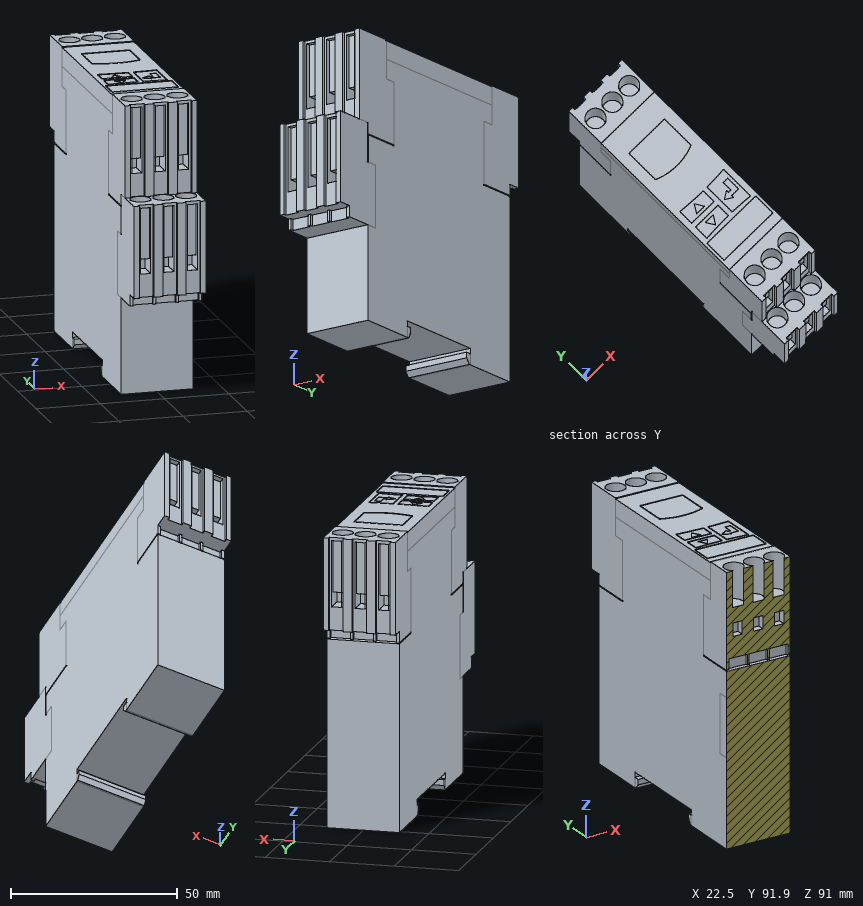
import cadquery as cq

WIDTH = 22.5
BODY_HALF_DEPTH = 36.7
BODY_HEIGHT = 84.8
COVER_TOP = 90.7
COVER_BACK = 27.3
COVER_FRONT = -27.2

BLOCK_TOP = 91.0
BLOCK_HEIGHT = 28.7
BLOCK_DEPTH = 13.9
BLOCK_SHOULDER_DROP = 12.4
BLOCK_SHOULDER_REACH = 4.0
FOOT_SETBACK = 4.5
FOOT_HEIGHT = 3.5
BACK_BLOCK_FACE = 41.2
FRONT_BLOCK_FACE = -41.1
LOWER_BLOCK_FACE = -50.7
LOWER_BLOCK_TOP = BLOCK_TOP - BLOCK_HEIGHT
FIT_GAP = 0.3

POLES = (-1, 0, 1)
CHANNEL_PITCH = 7.3
CHANNEL_WIDTH = 4.5
CHANNEL_DEPTH = 1.0
SLOT_WIDTH = 3.1
SLOT_TOP_DROP = 1.0
SLOT_BOTTOM_DROP = 17.3
SLOT_DEPTH = 1.5
WINDOW_BOTTOM_DROP = 21.5
WINDOW_DEPTH = 6.0
SCREW_PITCH = 7.1
SCREW_DIAMETER = 6.3
SCREW_SETBACK = 7.3
SCREW_HOLE_DEPTH = 12.0
FOOT_NOTCH_DEPTH = 1.0

RAIL_HALF_WIDTH = 16.15
RAIL_DEPTH = 5.2
HOOK_TOP = 3.5
HOOK_NOSE_BOTTOM = 1.7
HOOK_TOE = 0.5
BACK_HOOK_REACH = 1.9
FRONT_HOOK_REACH = 1.5

PANEL_RECESS = 0.2
SYMBOL_RECESS = 0.1
DISPLAY_WIDTH = 15.0
DISPLAY_BACK = 19.3
DISPLAY_CORNER = 8.0
DISPLAY_FRONT = 6.5
LABEL_WIDTH = 20.6
LABEL_BACK = -16.7
LABEL_FRONT = -24.0
KEYPAD_HALF_WIDTH = 9.2
KEYPAD_BACK = -4.1
KEYPAD_FRONT = -15.6
KEYPAD_SAG = 0.4
ARROW_KEY_RIGHT = 0.25
UP_KEY_FRONT = -9.1
DOWN_KEY_BACK = -10.75
ENTER_KEY_LEFT = 1.85
TRIANGLE_X = -4.45
TRIANGLE_WIDTH = 3.3
TRIANGLE_HEIGHT = 2.7
UP_TRIANGLE_BASE = -8.1
DOWN_TRIANGLE_BASE = -11.8
ENTER_SYMBOL = [
    (2.85, -10.85),
    (5.3, -9.3),
    (5.3, -10.1),
    (6.3, -10.1),
    (6.3, -6.9),
    (8.2, -6.9),
    (8.2, -11.5),
    (5.3, -11.5),
    (5.3, -12.3),
]


def box(x_range, y_range, z_range):
    """Axis-aligned box from its lower and upper limits."""
    x0, x1 = x_range
    y0, y1 = y_range
    z0, z1 = z_range
    return cq.Workplane("XY").box(x1 - x0, y1 - y0, z1 - z0, centered=False).translate((x0, y0, z0))


def pole_box(x_center, width, y_range, z_range):
    """Box centred on one pole across the width."""
    return box((x_center - width / 2, x_center + width / 2), sorted(y_range), z_range)


def side_extrusion(points):
    """Extrude a (Y, Z) outline symmetrically across the width."""
    return cq.Workplane("YZ").polyline(points).close().extrude(WIDTH / 2, both=True)


def block_profile(face, inward, top):
    """Side outline of a terminal block."""
    inner = face + inward * BLOCK_DEPTH
    shoulder = face + inward * (BLOCK_DEPTH + BLOCK_SHOULDER_REACH)
    foot_face = face + inward * FOOT_SETBACK
    shoulder_z = top - BLOCK_SHOULDER_DROP
    underside = top - BLOCK_HEIGHT
    foot_z = underside - FOOT_HEIGHT
    return [
        (face, top),
        (inner, top),
        (inner, shoulder_z),
        (shoulder, shoulder_z),
        (shoulder, foot_z),
        (foot_face, foot_z),
        (foot_face, underside),
        (face, underside),
    ]


def make_block(face, inward, top):
    """Three-pole terminal block whose outer face lies at Y = face."""
    block = side_extrusion(block_profile(face, inward, top))
    underside = top - BLOCK_HEIGHT
    channel_floor = face + inward * CHANNEL_DEPTH
    slot_floor = channel_floor + inward * SLOT_DEPTH
    window_floor = channel_floor + inward * WINDOW_DEPTH
    screw_y = face + inward * SCREW_SETBACK
    foot_face = face + inward * FOOT_SETBACK
    notch_floor = foot_face + inward * FOOT_NOTCH_DEPTH
    slot_bottom = top - SLOT_BOTTOM_DROP
    window_bottom = top - WINDOW_BOTTOM_DROP

    for pole in POLES:
        channel_x = pole * CHANNEL_PITCH
        screw_x = pole * SCREW_PITCH
        block = block.cut(pole_box(channel_x, CHANNEL_WIDTH, (face, channel_floor), (underside, top)))
        slot_z = (slot_bottom, top - SLOT_TOP_DROP)
        block = block.cut(pole_box(channel_x, SLOT_WIDTH, (channel_floor, slot_floor), slot_z))
        window_z = (window_bottom, slot_bottom)
        block = block.cut(pole_box(channel_x, SLOT_WIDTH, (channel_floor, window_floor), window_z))
        screw_hole = cq.Workplane("XY", origin=(screw_x, screw_y, top - SCREW_HOLE_DEPTH))
        block = block.cut(screw_hole.circle(SCREW_DIAMETER / 2).extrude(SCREW_HOLE_DEPTH))
        notch_z = (underside - FOOT_HEIGHT, underside)
        block = block.cut(pole_box(screw_x, SCREW_DIAMETER, (foot_face, notch_floor), notch_z))
    return block


def make_hook(side, reach):
    """Rail hook on one wall of the rail notch; side is +1 at the back and -1 at the front."""
    wall = side * RAIL_HALF_WIDTH
    nose = wall - side * reach
    toe = wall - side * HOOK_TOE
    outline = [(wall, HOOK_TOP), (nose, HOOK_TOP), (nose, HOOK_NOSE_BOTTOM), (toe, 0), (wall, 0)]
    return side_extrusion(outline)


def make_body():
    """Housing with its cover and rail notch."""
    half = WIDTH / 2
    body = box((-half, half), (-BODY_HALF_DEPTH, BODY_HALF_DEPTH), (0, BODY_HEIGHT))
    body = body.cut(box((-half, half), (-RAIL_HALF_WIDTH, RAIL_HALF_WIDTH), (0, RAIL_DEPTH)))
    cover = box((-half, half), (COVER_FRONT, COVER_BACK), (BODY_HEIGHT, COVER_TOP))
    return body.union(cover, clean=False)


def cut_fit_gaps(body):
    """Thin gaps below the feet of the upper blocks and behind the lower block."""
    half = WIDTH / 2
    foot_z = LOWER_BLOCK_TOP - FOOT_HEIGHT
    for face, inward in ((BACK_BLOCK_FACE, -1), (FRONT_BLOCK_FACE, 1)):
        shoulder = face + inward * (BLOCK_DEPTH + BLOCK_SHOULDER_REACH)
        y_range = sorted((face, shoulder))
        body = body.cut(box((-half, half), y_range, (foot_z - FIT_GAP, foot_z)), clean=False)
    lower_inner = LOWER_BLOCK_FACE + BLOCK_DEPTH
    shoulder_z = LOWER_BLOCK_TOP - BLOCK_SHOULDER_DROP
    rear_gap = box((-half, half), (lower_inner, -BODY_HALF_DEPTH + FIT_GAP), (shoulder_z, LOWER_BLOCK_TOP))
    return body.cut(rear_gap, clean=False)


def panel_sketch(depth=PANEL_RECESS):
    """Sketch plane at the given depth below the cover surface."""
    return cq.Workplane("XY", origin=(0, 0, COVER_TOP - depth))


def cut_display(part):
    """Display recess with a bowed front edge."""
    half = DISPLAY_WIDTH / 2
    outline = panel_sketch().moveTo(-half, DISPLAY_CORNER).lineTo(-half, DISPLAY_BACK)
    outline = outline.lineTo(half, DISPLAY_BACK).lineTo(half, DISPLAY_CORNER)
    outline = outline.threePointArc((0, DISPLAY_FRONT), (-half, DISPLAY_CORNER)).close()
    return part.cut(outline.extrude(PANEL_RECESS), clean=False)


def cut_label(part):
    """Rectangular label recess."""
    half = LABEL_WIDTH / 2
    recess = box((-half, half), (LABEL_FRONT, LABEL_BACK), (COVER_TOP - PANEL_RECESS, COVER_TOP))
    return part.cut(recess, clean=False)


def cut_keys(part):
    """Three key recesses, trimmed from one keypad outline with waisted front and back edges."""
    half = KEYPAD_HALF_WIDTH
    keypad = panel_sketch().moveTo(-half, KEYPAD_FRONT).lineTo(-half, KEYPAD_BACK)
    keypad = keypad.threePointArc((0, KEYPAD_BACK - KEYPAD_SAG), (half, KEYPAD_BACK))
    keypad = keypad.lineTo(half, KEYPAD_FRONT)
    keypad = keypad.threePointArc((0, KEYPAD_FRONT + KEYPAD_SAG), (-half, KEYPAD_FRONT))
    keypad = keypad.close().extrude(PANEL_RECESS)
    key_limits = [
        ((-half, ARROW_KEY_RIGHT), (UP_KEY_FRONT, KEYPAD_BACK)),
        ((-half, ARROW_KEY_RIGHT), (KEYPAD_FRONT, DOWN_KEY_BACK)),
        ((ENTER_KEY_LEFT, half), (KEYPAD_FRONT, KEYPAD_BACK)),
    ]
    for x_range, y_range in key_limits:
        key = keypad.intersect(box(x_range, y_range, (COVER_TOP - PANEL_RECESS, COVER_TOP)))
        part = part.cut(key, clean=False)
    return part


def triangle(base, direction):
    """Isosceles arrow outline pointing along +Y or -Y."""
    half = TRIANGLE_WIDTH / 2
    apex = (TRIANGLE_X, base + direction * TRIANGLE_HEIGHT)
    return [(TRIANGLE_X - half, base), (TRIANGLE_X + half, base), apex]


def cut_symbols(part):
    """Up, down and enter arrows sunk into the key faces."""
    for outline in (triangle(UP_TRIANGLE_BASE, 1), triangle(DOWN_TRIANGLE_BASE, -1), ENTER_SYMBOL):
        sketch = panel_sketch(PANEL_RECESS + SYMBOL_RECESS)
        part = part.cut(sketch.polyline(outline).close().extrude(SYMBOL_RECESS), clean=False)
    return part


BLOCKS = [
    (BACK_BLOCK_FACE, -1, BLOCK_TOP),
    (FRONT_BLOCK_FACE, 1, BLOCK_TOP),
    (LOWER_BLOCK_FACE, 1, LOWER_BLOCK_TOP),
]

result = cut_fit_gaps(make_body())
for face, inward, top in BLOCKS:
    result = result.cut(side_extrusion(block_profile(face, inward, top)), clean=False)
for face, inward, top in BLOCKS:
    result = result.union(make_block(face, inward, top), clean=False)
result = result.union(make_hook(1, BACK_HOOK_REACH), clean=False)
result = result.union(make_hook(-1, FRONT_HOOK_REACH), clean=False)
result = cut_display(result)
result = cut_label(result)
result = cut_keys(result)
result = cut_symbols(result)